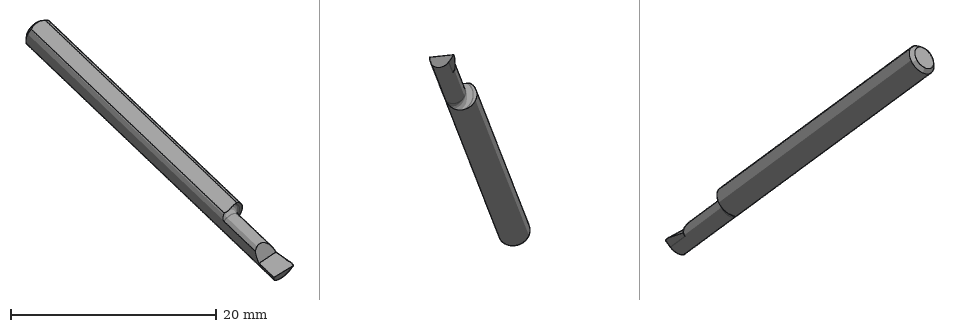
import cadquery as cq
import math

length = 38.1
shank_diameter = 3.15
shank_radius = shank_diameter / 2
height = 2.9
flat_z = height - shank_radius
end_chamfer = 0.4

neck_radius = 1.15
neck_center_y = -0.57
shoulder_x = 29.45
shoulder_fillet = 0.65
neck_side_y = neck_center_y + neck_radius

tip_start_x = 35.75
rake_z = 0.0
edge_side_y = 0.88
edge_corner_x = 37.7
nose_y = 0.85
end_skew = 0.1
end_relief = 0.2


def make_shank():
    """Round bar over the full length, chamfered at the rear, with a flat on top."""
    bar = cq.Workplane("YZ").circle(shank_radius).extrude(length)
    bar = bar.faces("<X").chamfer(end_chamfer)
    above_flat = cq.Workplane("XY").box(
        length, shank_diameter, shank_diameter, centered=(False, True, False)
    ).translate((0, 0, flat_z))
    return bar.cut(above_flat)


def make_neck_envelope():
    """Turned profile: full bar up to the shoulder, then a fillet into the offset neck."""
    outer_radius = shank_diameter
    arc_reach = shoulder_fillet * (1 - math.sqrt(0.5))
    return (
        cq.Workplane("XY")
        .moveTo(0, 0)
        .lineTo(0, outer_radius)
        .lineTo(shoulder_x, outer_radius)
        .lineTo(shoulder_x, neck_radius + shoulder_fillet)
        .threePointArc(
            (shoulder_x + arc_reach, neck_radius + arc_reach),
            (shoulder_x + shoulder_fillet, neck_radius),
        )
        .lineTo(length, neck_radius)
        .lineTo(length, 0)
        .close()
        .revolve(360, (0, 0, 0), (1, 0, 0))
        .translate((0, neck_center_y, 0))
    )


def make_cutting_edge():
    """Widened side of the head, its relief face tangent to the round neck."""
    edge_reach = edge_side_y - neck_center_y
    tangent_angle = math.acos(neck_radius / edge_reach)
    tangent_y = neck_center_y + neck_radius * math.cos(tangent_angle)
    tangent_z = rake_z - neck_radius * math.sin(tangent_angle)
    wedge = (
        cq.Workplane("YZ", origin=(tip_start_x, 0, 0))
        .polyline([(neck_center_y, rake_z), (edge_side_y, rake_z), (tangent_y, tangent_z)])
        .close()
        .extrude(length - tip_start_x)
    )
    plan = (
        cq.Workplane("XY", origin=(0, 0, -neck_radius))
        .polyline([
            (tip_start_x, neck_center_y),
            (tip_start_x, neck_side_y),
            (edge_corner_x, edge_side_y),
            (length, nose_y),
            (length, neck_center_y),
        ])
        .close()
        .extrude(neck_radius)
    )
    return wedge.intersect(plan)


def make_ramp_cutter():
    """Material above the rake face and its 45 degree ramp."""
    return (
        cq.Workplane("XZ", origin=(0, shank_diameter, 0))
        .polyline([
            (tip_start_x, rake_z),
            (length, rake_z),
            (length, shank_diameter),
            (tip_start_x - shank_diameter, shank_diameter),
        ])
        .close()
        .extrude(2 * shank_diameter)
    )


def end_section(fall_back):
    """Corners of the waste beyond the end face at one level."""
    skew_slope = end_skew / (nose_y + shank_radius)
    low_y = -shank_diameter
    low_x = length - skew_slope * (nose_y - low_y)
    high_y = shank_diameter
    high_x = length + skew_slope * (high_y - nose_y)
    outer_x = length + shank_diameter
    return [(low_x - fall_back, low_y), (outer_x, low_y), (outer_x, high_y), (high_x - fall_back, high_y)]


def make_end_cutter():
    """Waste beyond the skewed and undercut end face."""
    return (
        cq.Workplane("XY", origin=(0, 0, rake_z))
        .polyline(end_section(0))
        .close()
        .workplane(offset=-neck_radius)
        .polyline(end_section(end_relief))
        .close()
        .loft(ruled=True)
    )


bar = make_shank().intersect(make_neck_envelope())
bar = bar.cut(make_ramp_cutter())
result = bar.union(make_cutting_edge()).cut(make_end_cutter())